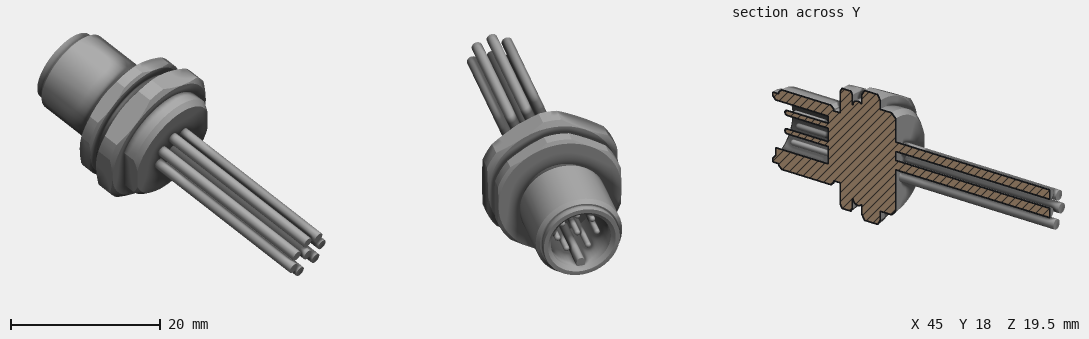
import cadquery as cq
import math

THREAD_START = 1.0
THREAD_END = 10.0
LOCK_NUT_START = 11.0
LOCK_NUT_END = 13.0
HEX_START = 14.45
HEX_END = 17.5
FLANGE_END = 20.0
TOTAL_LENGTH = 45.0

SLEEVE_RADIUS = 5.25
THREAD_RADIUS = 6.0
THREAD_CHAMFER = 0.5
BORE_RADIUS = 4.15
BORE_MOUTH_RADIUS = 4.7
BORE_MOUTH_DEPTH = 0.5
BORE_DEPTH = 9.0

LOCK_NUT_FLATS = 17.0
LOCK_NUT_CORNER_RADIUS = 9.0
LOCK_NUT_FACE_RADIUS = LOCK_NUT_FLATS / 2
HEX_FLATS = 18.0
HEX_CORNER_DIAMETER = 19.5
HEX_FACE_RADIUS = 8.95
HEX_CHAMFER_ANGLE = 30.0
HEX_SIDES = 6

RING_OUTER_RADIUS = 7.85
RING_SECTION_RADIUS = 0.8

FLANGE_RADIUS = 7.65
FLANGE_FLATS = 13.5
FLANGE_CHAMFER = 0.68

CONTACT_CIRCLE_RADIUS = 2.75
CONTACT_COUNT = 7
CONTACT_STEP_ANGLE = 49.0
PIN_RADIUS = 0.4
PIN_TIP = 2.0
WIRE_DIAMETER = 1.5

KEY_WIDTH = 1.15
KEY_CREST_Z = -2.92
KEY_TIP = 0.5


def rod(radius, start, end, y=0.0, z=0.0):
    """Cylinder along X between two stations."""
    return cq.Workplane("YZ", origin=(start, y, z)).circle(radius).extrude(end - start)


def revolve_profile(points):
    """Solid of revolution about X from (x, radius) points."""
    return cq.Workplane("XY").polyline(points).close().revolve(360, (0, 0, 0), (1, 0, 0))


def rounded_hexagon(start, end, flats, corner_radius, face_radius):
    """Hexagon whose corners are turned to a cylinder and chamfered at both ends."""
    half_side_angle = math.pi / HEX_SIDES
    corner_to_corner = flats / math.cos(half_side_angle)
    hexagon = (
        cq.Workplane("YZ", origin=(start, 0, 0))
        .polygon(HEX_SIDES, corner_to_corner)
        .extrude(end - start)
        .rotate((0, 0, 0), (1, 0, 0), 90)
    )
    chamfer_length = (corner_radius - face_radius) * math.tan(math.radians(HEX_CHAMFER_ANGLE))
    turned_blank = revolve_profile([
        (start, 0),
        (start, face_radius),
        (start + chamfer_length, corner_radius),
        (end - chamfer_length, corner_radius),
        (end, face_radius),
        (end, 0),
    ])
    return hexagon.intersect(turned_blank)


def threaded_sleeve():
    """Plug sleeve with its threaded band and the hollow mating end."""
    sleeve = rod(SLEEVE_RADIUS, 0, LOCK_NUT_START)
    band = rod(THREAD_RADIUS, THREAD_START, THREAD_END).edges().chamfer(THREAD_CHAMFER)
    bore = revolve_profile([
        (0, 0),
        (0, BORE_MOUTH_RADIUS),
        (BORE_MOUTH_DEPTH, BORE_RADIUS),
        (BORE_DEPTH, BORE_RADIUS),
        (BORE_DEPTH, 0),
    ])
    return sleeve.union(band).cut(bore)


def sealing_ring():
    """Round-section ring touching the lock nut and pressed into the hexagon, on a solid core."""
    middle = LOCK_NUT_END + RING_SECTION_RADIUS
    centre_radius = RING_OUTER_RADIUS - RING_SECTION_RADIUS
    ring = (
        cq.Workplane("XY")
        .center(middle, centre_radius)
        .circle(RING_SECTION_RADIUS)
        .revolve(360, (0, -centre_radius, 0), (1, -centre_radius, 0))
    )
    return rod(centre_radius, LOCK_NUT_END, HEX_START).union(ring)


def rear_flange():
    """Round flange with two flats and a chamfered rear edge."""
    length = FLANGE_END - HEX_END
    disc = rod(FLANGE_RADIUS, HEX_END, FLANGE_END).faces(">X").chamfer(FLANGE_CHAMFER)
    flats = (
        cq.Workplane("YZ", origin=(HEX_END, 0, 0))
        .rect(FLANGE_FLATS, 2 * FLANGE_RADIUS)
        .extrude(length)
    )
    return disc.intersect(flats)


def contact_positions():
    """(y, z) of every contact: the centre, then the circle from one side of the key to the other."""
    positions = [(0.0, 0.0)]
    for index in range(CONTACT_COUNT):
        offset = index - (CONTACT_COUNT - 1) / 2
        angle = math.radians(90 + offset * CONTACT_STEP_ANGLE)
        y = CONTACT_CIRCLE_RADIUS * math.cos(angle)
        z = CONTACT_CIRCLE_RADIUS * math.sin(angle)
        positions.append((y, z))
    return positions


def pin(y, z):
    """Contact pin with a domed tip, rising from the floor of the bore."""
    dome_centre = PIN_TIP + PIN_RADIUS
    dome = cq.Workplane("XY").sphere(PIN_RADIUS).translate((dome_centre, y, z))
    return rod(PIN_RADIUS, dome_centre, BORE_DEPTH, y, z).union(dome)


def polarising_key():
    """Rib along the bottom of the bore with a rounded crest."""
    crest_radius = KEY_WIDTH / 2
    crest_centre_z = KEY_CREST_Z - crest_radius
    base_z = -(BORE_RADIUS + SLEEVE_RADIUS) / 2
    return (
        cq.Workplane("YZ", origin=(KEY_TIP, 0, 0))
        .moveTo(-crest_radius, base_z)
        .lineTo(-crest_radius, crest_centre_z)
        .threePointArc((0, KEY_CREST_Z), (crest_radius, crest_centre_z))
        .lineTo(crest_radius, base_z)
        .close()
        .extrude(BORE_DEPTH - KEY_TIP)
    )


lock_nut = rounded_hexagon(
    LOCK_NUT_START, LOCK_NUT_END, LOCK_NUT_FLATS, LOCK_NUT_CORNER_RADIUS, LOCK_NUT_FACE_RADIUS
)
body_hexagon = rounded_hexagon(HEX_START, HEX_END, HEX_FLATS, HEX_CORNER_DIAMETER / 2, HEX_FACE_RADIUS)

result = (
    threaded_sleeve()
    .union(polarising_key())
    .union(lock_nut)
    .union(sealing_ring())
    .union(body_hexagon)
    .union(rear_flange())
)
for contact_y, contact_z in contact_positions():
    wire = rod(WIRE_DIAMETER / 2, FLANGE_END, TOTAL_LENGTH, contact_y, contact_z)
    result = result.union(pin(contact_y, contact_z)).union(wire)